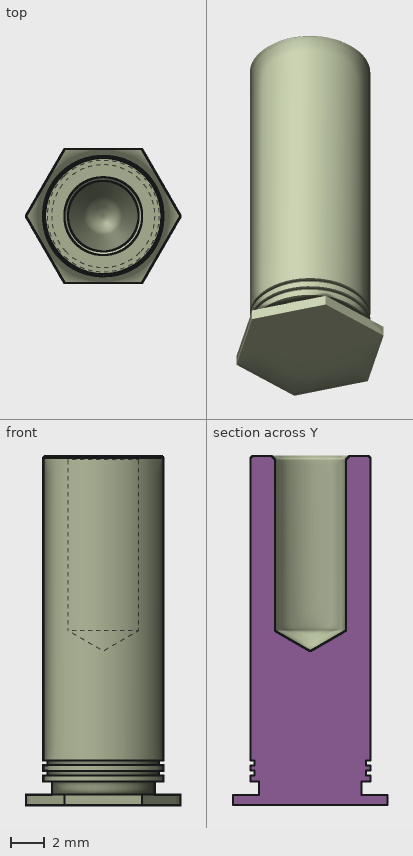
import cadquery as cq
import math

total_height = 20.65
hex_across_flats = 7.93
hex_height = 0.65

shank_diameter = 7.12
shank_edge_chamfer = 0.12
neck_diameter = 6.09
neck_top = 1.4

groove_diameter = 6.6
groove_height = 0.27
groove_bottoms = (1.78, 2.37)

bore_diameter = 4.17
bore_mouth_diameter = 4.6
bore_depth = 10.32
drill_point_angle = 120.0


def make_hex_head():
    across_corners = hex_across_flats / math.cos(math.radians(30))
    return cq.Workplane("XY").polygon(6, across_corners).extrude(hex_height)


def make_neck():
    return cq.Workplane("XY").circle(neck_diameter / 2).extrude(neck_top)


def make_shank():
    shank = (
        cq.Workplane("XY", origin=(0, 0, neck_top))
        .circle(shank_diameter / 2)
        .extrude(total_height - neck_top)
    )
    return shank.faces(">Z").edges().chamfer(shank_edge_chamfer)


def make_groove_cutter(bottom):
    return (
        cq.Workplane("XY", origin=(0, 0, bottom))
        .circle(shank_diameter / 2)
        .circle(groove_diameter / 2)
        .extrude(groove_height)
    )


def make_bore_cutter():
    """Straight bore with a 45 degree countersink and a conical drill point."""
    bore_radius = bore_diameter / 2
    mouth_radius = bore_mouth_diameter / 2
    countersink_depth = mouth_radius - bore_radius
    wall_end = total_height - bore_depth
    point_depth = bore_radius / math.tan(math.radians(drill_point_angle / 2))
    half_section = [
        (0, total_height),
        (mouth_radius, total_height),
        (bore_radius, total_height - countersink_depth),
        (bore_radius, wall_end),
        (0, wall_end - point_depth),
    ]
    return cq.Workplane("XZ").polyline(half_section).close().revolve(360, (0, 0), (0, 1))


result = make_hex_head().union(make_neck()).union(make_shank())
for groove_bottom in groove_bottoms:
    result = result.cut(make_groove_cutter(groove_bottom))
result = result.cut(make_bore_cutter())